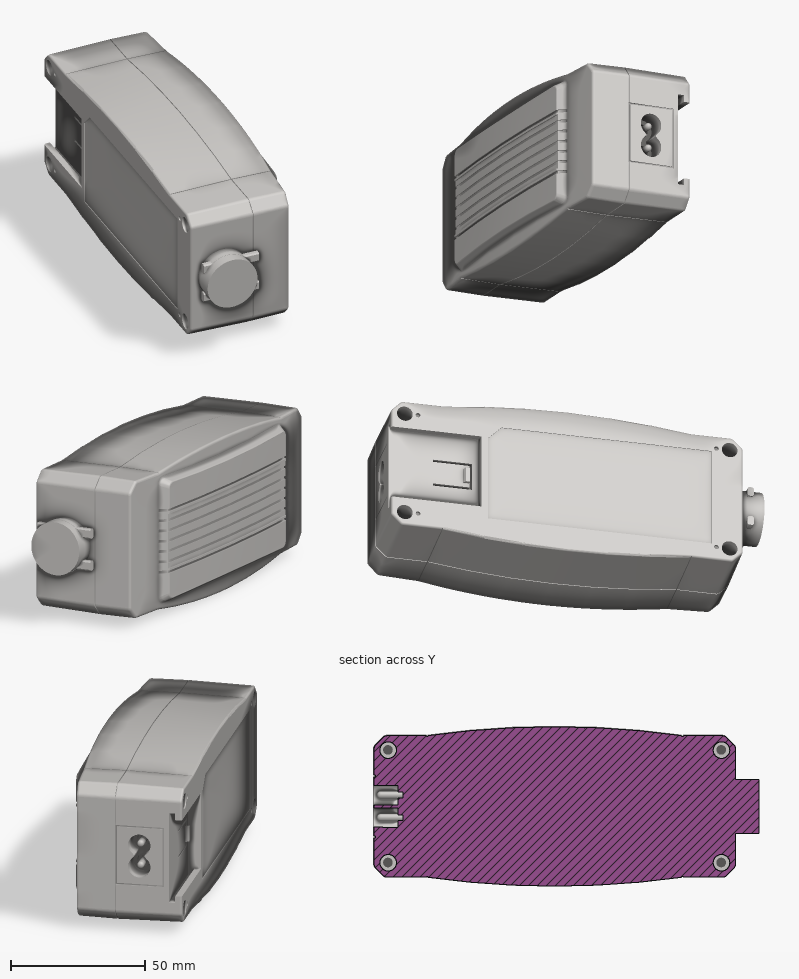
import cadquery as cq
import math

TOTAL_LENGTH = 143.5
TOTAL_DEPTH = 46.32
TOTAL_WIDTH = 59.87
CASE_LENGTH = 135.0
MID_X = CASE_LENGTH / 2

END_HALF_WIDTH = 26.6
CROWN_HALF_WIDTH = TOTAL_WIDTH / 2
BULGE_START_X = 20.0
BULGE_END_X = CASE_LENGTH - BULGE_START_X
CORNER_CHAMFER = 4.2
CORNER_RADIUS = 2.0
DRAFT_ANGLE = 1.0
FRONT_EDGE_RADIUS = 0.8
BACK_EDGE_RADIUS = 1.0

PARTING_Y = 25.2
BACK_CROWN_Y = 43.2
BACK_END_Y = 40.0

SEAM_WIDTH = 0.4
SEAM_DEPTH = 0.3

PANEL_RISE = TOTAL_DEPTH - BACK_CROWN_Y
PANEL_ROOT_Y = BACK_END_Y
PANEL_ROOT_LENGTH = 98.0
PANEL_ROOT_WIDTH = 49.5
PANEL_TOP_LENGTH = 89.0
PANEL_TOP_WIDTH = 43.5
PANEL_CORNER_RADIUS = 3.0
PANEL_EDGE_RADIUS = 0.6
PANEL_FOOT_RADIUS = 0.8
PANEL_CORNER_ZONE_Y = (41.0, 44.0)
PANEL_FOOT_ZONE_Y = (41.4, 42.9)
PANEL_ZONE_MARGIN = 0.6
PANEL_RECESS_HALF_WIDTH = 10.5
PANEL_RECESS_DEPTH = 0.5
PANEL_GROOVE_COUNT = 7
PANEL_GROOVE_PITCH = 3.95
PANEL_GROOVE_WIDTH = 1.1
PANEL_GROOVE_DEPTH = 0.8

SLOT_LENGTH = 34.7
SLOT_MOUTH_WIDTH = 29.8
SLOT_UNDERCUT_WIDTH = 35.0
SLOT_LIP = 2.5
SLOT_DEPTH = 4.9

LATCH_START_X = 17.3
LATCH_END_X = 32.2
LATCH_WIDTH = 11.0
LATCH_GAP = 0.9
LATCH_GAP_DEPTH = 2.0
LATCH_TOOTH_START_X = 28.9
LATCH_TOOTH_LENGTH = 2.2
LATCH_TOOTH_RAMP = 0.7
LATCH_TOOTH_WIDTH = 5.8
LATCH_TOOTH_HEIGHT = 1.4

LABEL_START_X = 37.2
LABEL_END_X = 122.5
LABEL_HALF_WIDTH = 19.65
LABEL_CORNER = 5.2
LABEL_DEPTH = 0.3

SCREW_INSET = 5.5
SCREW_Z = 20.95
SCREW_HEAD_DIAMETER = 6.0
SCREW_HEAD_DEPTH = 18.0
SCREW_SHANK_DIAMETER = 3.6
SCREW_SHANK_DEPTH = 28.0
DIMPLE_INSET = 10.55
DIMPLE_DIAMETER = 1.8
DIMPLE_DEPTH = 1.0

INLET_HALF_WIDTH = 11.6
INLET_FRONT_Y = 6.8
INLET_SEAM_WIDTH = 0.6
INLET_SEAM_DEPTH = 0.7
SOCKET_Y = 16.1
SOCKET_SPACING = 8.4
SOCKET_RADIUS = 4.2
SOCKET_WAIST = 3.9
SOCKET_DEPTH = 9.0
WELL_RADIUS = 2.6
WELL_DEPTH = 2.0
PIN_RADIUS = 1.3
PIN_TIP_RADIUS = 1.25
PIN_TIP_DEPTH = 1.5

GLAND_RADIUS = 10.15
GLAND_Y = 13.05
GLAND_ROOT = 2.0
CLIP_START_X = 137.1
CLIP_WIDTH = 2.4
CLIP_CHAMFER = 0.5
CLIP_INNER_Z = 4.3
CLIP_OUTER_Z = 8.0
CLIP_FRONT_Y = 3.2
CLIP_BACK_Y = 25.7
CLIP_BAND_HEIGHT = 0.1

OVERCUT = 5.0


def box(x_range, y_range, z_range):
    """Axis-aligned block between the given limits."""
    (x0, x1), (y0, y1), (z0, z1) = x_range, y_range, z_range
    return cq.Workplane("XY").box(x1 - x0, y1 - y0, z1 - z0, centered=False).translate((x0, y0, z0))


def front_plane(y):
    """Workplane at depth y whose axes are X and Z; extrusion runs toward the front (-Y)."""
    return cq.Workplane("XZ", origin=(0, y, 0))


def side_plane(x):
    """Workplane at station x whose axes are Y and Z; extrusion runs toward +X."""
    return cq.Workplane("YZ", origin=(x, 0, 0))


def case_outline(inset=0.0):
    """Bulged outline with chamfered, rounded corners, moved inward by inset."""
    end = END_HALF_WIDTH - inset
    crown = CROWN_HALF_WIDTH - inset
    left = inset
    right = CASE_LENGTH - inset
    shoulder = end - CORNER_CHAMFER
    outline = (
        front_plane(PARTING_Y)
        .moveTo(left, -shoulder)
        .lineTo(left + CORNER_CHAMFER, -end)
        .lineTo(BULGE_START_X, -end)
        .threePointArc((MID_X, -crown), (BULGE_END_X, -end))
        .lineTo(right - CORNER_CHAMFER, -end)
        .lineTo(right, -shoulder)
        .lineTo(right, shoulder)
        .lineTo(right - CORNER_CHAMFER, end)
        .lineTo(BULGE_END_X, end)
        .threePointArc((MID_X, crown), (BULGE_START_X, end))
        .lineTo(left + CORNER_CHAMFER, end)
        .lineTo(left, shoulder)
        .close()
    )
    wire = outline.wires().val()
    corner_points = []
    for vertex in wire.Vertices():
        if not BULGE_START_X - CORNER_RADIUS < vertex.X < BULGE_END_X + CORNER_RADIUS:
            corner_points.append(vertex)
    return front_plane(PARTING_Y).add(wire.fillet2D(CORNER_RADIUS, corner_points)).toPending()


def drafted_halves(inset, depth):
    """Case walls drafted away from the parting line in both directions."""
    front = case_outline(inset).extrude(depth, taper=DRAFT_ANGLE)
    back = case_outline(inset).extrude(depth, taper=DRAFT_ANGLE)
    back = back.mirror("XZ", (0, PARTING_Y, 0))
    return front, back


def under_back_arc(rise=0.0):
    """Solid lying in front of the curved back surface, moved outward by rise."""
    margin = TOTAL_WIDTH
    return (
        cq.Workplane("XY", origin=(0, 0, -margin / 2))
        .moveTo(0, 0)
        .lineTo(CASE_LENGTH, 0)
        .lineTo(CASE_LENGTH, BACK_END_Y + rise)
        .threePointArc((MID_X, BACK_CROWN_Y + rise), (0, BACK_END_Y + rise))
        .close()
        .extrude(margin)
    )


def make_case():
    front, back = drafted_halves(0, PARTING_Y)
    front = front.faces("<Y").edges().fillet(FRONT_EDGE_RADIUS)
    back = back.intersect(under_back_arc())
    back = back.faces(">Y").edges().fillet(BACK_EDGE_RADIUS)
    return front.union(back)


def cut_seams(case):
    """Shallow grooves along the parting line and across the sides where the bulge begins."""
    core_front, core_back = drafted_halves(SEAM_DEPTH, PARTING_Y)
    core = core_front.union(core_back)
    half_seam = SEAM_WIDTH / 2
    full_x = (-OVERCUT, CASE_LENGTH + OVERCUT)
    full_z = (-TOTAL_WIDTH, TOTAL_WIDTH)
    parting = box(full_x, (PARTING_Y - half_seam, PARTING_Y + half_seam), full_z)
    case = case.cut(parting.cut(core))
    for x in (BULGE_START_X, BULGE_END_X):
        side_seam = box((x - half_seam, x + half_seam), (0, BACK_CROWN_Y), full_z)
        case = case.cut(side_seam.cut(core))
    return case


def panel_block(inset=0.0):
    """Back panel with sloping sides and an arched top, its surface lowered by inset."""
    frustum = (
        cq.Workplane("XZ", origin=(MID_X, PANEL_ROOT_Y, 0))
        .rect(PANEL_ROOT_LENGTH - 2 * inset, PANEL_ROOT_WIDTH - 2 * inset)
        .workplane(offset=PANEL_ROOT_Y - TOTAL_DEPTH)
        .rect(PANEL_TOP_LENGTH - 2 * inset, PANEL_TOP_WIDTH - 2 * inset)
        .loft(ruled=True)
    )
    return frustum.intersect(under_back_arc(PANEL_RISE - inset))


def centered_in_zone(y_range):
    """Selector for edges whose centers lie on the panel within y_range."""
    half_width = PANEL_ROOT_WIDTH / 2 - PANEL_ZONE_MARGIN
    low = (0, y_range[0], -half_width)
    high = (CASE_LENGTH, y_range[1], half_width)
    return cq.selectors.BoxSelector(low, high)


def add_back_panel(case):
    """Panel with rounded corners and edges, blended into the back of the case at its foot."""
    panel = panel_block()
    panel = panel.edges(centered_in_zone(PANEL_CORNER_ZONE_Y)).fillet(PANEL_CORNER_RADIUS)
    panel = panel.faces("%CYLINDER").edges().fillet(PANEL_EDGE_RADIUS)
    case = case.union(panel)
    return case.edges(centered_in_zone(PANEL_FOOT_ZONE_Y)).fillet(PANEL_FOOT_RADIUS)


def cut_panel_relief(case):
    """Recessed central strip of the panel, crossed by grooves that run along X."""
    full_x = (0, CASE_LENGTH)
    full_y = (PANEL_ROOT_Y - OVERCUT, TOTAL_DEPTH + OVERCUT)

    strip = box(full_x, full_y, (-PANEL_RECESS_HALF_WIDTH, PANEL_RECESS_HALF_WIDTH))
    case = case.cut(strip.cut(under_back_arc(PANEL_RISE - PANEL_RECESS_DEPTH)))

    groove_floor = panel_block(PANEL_GROOVE_DEPTH).union(under_back_arc())
    for index in range(PANEL_GROOVE_COUNT):
        z = (index - (PANEL_GROOVE_COUNT - 1) / 2) * PANEL_GROOVE_PITCH
        groove = box(full_x, full_y, (z - PANEL_GROOVE_WIDTH / 2, z + PANEL_GROOVE_WIDTH / 2))
        case = case.cut(groove.cut(groove_floor))
    return case


def cut_mounting_slot(case):
    """T-shaped slot with a sprung latch outlined in its floor."""
    half_mouth = SLOT_MOUTH_WIDTH / 2
    half_undercut = SLOT_UNDERCUT_WIDTH / 2
    run = (-OVERCUT, SLOT_LENGTH)
    case = case.cut(box(run, (-OVERCUT, SLOT_DEPTH), (-half_mouth, half_mouth)))
    case = case.cut(box(run, (SLOT_LIP, SLOT_DEPTH), (-half_undercut, half_undercut)))

    half_latch = LATCH_WIDTH / 2
    half_tongue = half_latch - LATCH_GAP
    gap_y = (SLOT_DEPTH, SLOT_DEPTH + LATCH_GAP_DEPTH)
    gap = box((LATCH_START_X, LATCH_END_X), gap_y, (-half_latch, half_latch))
    tongue = box((LATCH_START_X, LATCH_END_X - LATCH_GAP), gap_y, (-half_tongue, half_tongue))
    case = case.cut(gap.cut(tongue))

    tooth = (
        cq.Workplane("XY", origin=(LATCH_TOOTH_START_X, SLOT_DEPTH, -LATCH_TOOTH_WIDTH / 2))
        .lineTo(LATCH_TOOTH_RAMP, -LATCH_TOOTH_HEIGHT)
        .lineTo(LATCH_TOOTH_LENGTH, -LATCH_TOOTH_HEIGHT)
        .lineTo(LATCH_TOOTH_LENGTH, 0)
        .close()
        .extrude(LATCH_TOOTH_WIDTH)
    )
    return case.union(tooth)


def cut_label_recess(case):
    label = (
        front_plane(LABEL_DEPTH)
        .moveTo(LABEL_START_X, -LABEL_HALF_WIDTH)
        .lineTo(LABEL_END_X, -LABEL_HALF_WIDTH)
        .lineTo(LABEL_END_X, LABEL_HALF_WIDTH)
        .lineTo(LABEL_START_X + LABEL_CORNER, LABEL_HALF_WIDTH)
        .lineTo(LABEL_START_X, LABEL_HALF_WIDTH - LABEL_CORNER)
        .close()
        .extrude(LABEL_DEPTH)
    )
    return case.cut(label)


def mirrored_points(inset, z):
    """Four points on the front face, the same distance in from both ends and both sides."""
    return [(x, side * z) for x in (inset, CASE_LENGTH - inset) for side in (-1, 1)]


def cut_front_holes(case):
    screws = mirrored_points(SCREW_INSET, SCREW_Z)
    dimples = mirrored_points(DIMPLE_INSET, SCREW_Z)
    holes = (
        (screws, SCREW_HEAD_DIAMETER, SCREW_HEAD_DEPTH),
        (screws, SCREW_SHANK_DIAMETER, SCREW_SHANK_DEPTH),
        (dimples, DIMPLE_DIAMETER, DIMPLE_DEPTH),
    )
    for points, diameter, depth in holes:
        case = case.cut(front_plane(depth).pushPoints(points).circle(diameter / 2).extrude(depth))
    return case


def cut_inlet(case):
    """Figure-eight mains socket with two round-tipped pins, framed by a seam."""
    inner_half = INLET_HALF_WIDTH - INLET_SEAM_WIDTH
    seam_x = (-OVERCUT, INLET_SEAM_DEPTH)
    outer = box(seam_x, (INLET_FRONT_Y, PARTING_Y), (-INLET_HALF_WIDTH, INLET_HALF_WIDTH))
    inner_y = (INLET_FRONT_Y + INLET_SEAM_WIDTH, PARTING_Y - INLET_SEAM_WIDTH)
    case = case.cut(outer.cut(box(seam_x, inner_y, (-inner_half, inner_half))))

    centers = [(SOCKET_Y, side * SOCKET_SPACING / 2) for side in (-1, 1)]
    half_waist = SOCKET_WAIST / 2
    flare = SOCKET_RADIUS * math.sin(math.radians(45))
    flare_z = SOCKET_SPACING / 2 - flare
    waist_z = flare_z - (flare - half_waist)
    socket = side_plane(0).pushPoints(centers).circle(SOCKET_RADIUS).extrude(SOCKET_DEPTH)
    waist = (
        side_plane(0)
        .moveTo(SOCKET_Y - flare, -flare_z)
        .lineTo(SOCKET_Y - half_waist, -waist_z)
        .lineTo(SOCKET_Y - half_waist, waist_z)
        .lineTo(SOCKET_Y - flare, flare_z)
        .lineTo(SOCKET_Y + flare, flare_z)
        .lineTo(SOCKET_Y + half_waist, waist_z)
        .lineTo(SOCKET_Y + half_waist, -waist_z)
        .lineTo(SOCKET_Y + flare, -flare_z)
        .close()
        .extrude(SOCKET_DEPTH)
    )
    socket = socket.union(waist)
    wells = side_plane(SOCKET_DEPTH).pushPoints(centers).circle(WELL_RADIUS).extrude(WELL_DEPTH)
    case = case.cut(socket).cut(wells)

    pin_length = SOCKET_DEPTH + WELL_DEPTH - PIN_TIP_DEPTH
    pins = side_plane(PIN_TIP_DEPTH).pushPoints(centers).circle(PIN_RADIUS).extrude(pin_length)
    pins = pins.faces("<X").edges().fillet(PIN_TIP_RADIUS)
    return case.union(pins)


def make_gland():
    """Round cable gland with a thin band and two straight clip bars across it."""
    root_x = CASE_LENGTH - GLAND_ROOT
    gland = side_plane(root_x).center(GLAND_Y, 0).circle(GLAND_RADIUS).extrude(TOTAL_LENGTH - root_x)

    clip_x = (CLIP_START_X, CLIP_START_X + CLIP_WIDTH)
    band = side_plane(CLIP_START_X).center(GLAND_Y, 0).circle(GLAND_RADIUS + CLIP_BAND_HEIGHT)
    opening = box(clip_x, (0, BACK_CROWN_Y), (-CLIP_INNER_Z, CLIP_INNER_Z))
    gland = gland.union(band.extrude(CLIP_WIDTH).cut(opening))
    for z_range in ((-CLIP_OUTER_Z, -CLIP_INNER_Z), (CLIP_INNER_Z, CLIP_OUTER_Z)):
        bar = box(clip_x, (CLIP_FRONT_Y, CLIP_BACK_Y), z_range)
        gland = gland.union(bar.edges("|Y").chamfer(CLIP_CHAMFER))
    return gland


case = add_back_panel(make_case())
case = cut_panel_relief(case)
case = cut_seams(case)
case = cut_mounting_slot(case)
case = cut_label_recess(case)
case = cut_front_holes(case)
case = cut_inlet(case)
result = case.union(make_gland())